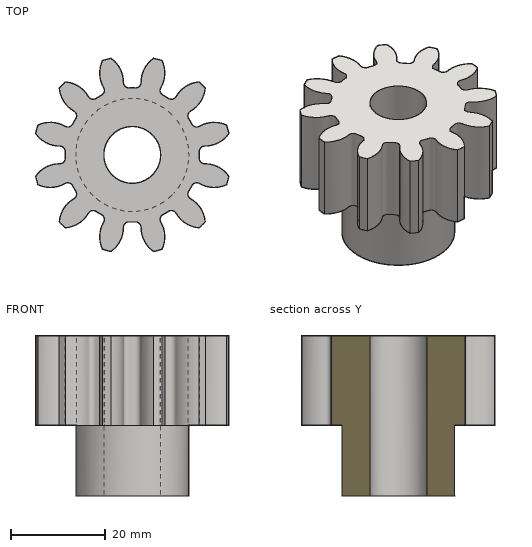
import cadquery as cq
import math

MODULE = 3.0
TOOTH_COUNT = 12
PRESSURE_ANGLE = math.radians(20)
ADDENDUM = MODULE
DEDENDUM = 1.25 * MODULE
ROOT_FILLET_RADIUS = 0.38 * MODULE
FLANK_RADIUS = 6.18
FLANK_CENTER_RADIUS = 17.38

TOTAL_HEIGHT = 34.0
HUB_HEIGHT = 15.0
HUB_DIAMETER = 24.0
BORE_DIAMETER = 12.0

PITCH_RADIUS = MODULE * TOOTH_COUNT / 2
BASE_RADIUS = PITCH_RADIUS * math.cos(PRESSURE_ANGLE)
TIP_RADIUS = PITCH_RADIUS + ADDENDUM
ROOT_RADIUS = PITCH_RADIUS - DEDENDUM
FILLET_CENTER_RADIUS = ROOT_RADIUS + ROOT_FILLET_RADIUS
GEAR_HEIGHT = TOTAL_HEIGHT - HUB_HEIGHT

TOOTH_PITCH = 2 * math.pi / TOOTH_COUNT
FIRST_TOOTH_ANGLE = TOOTH_PITCH / 2


def involute(angle):
    """Involute function of a pressure angle."""
    return math.tan(angle) - angle


def polar(radius, angle):
    """XY point at a radius and an angle."""
    return (radius * math.cos(angle), radius * math.sin(angle))


def rotated(point, angle):
    """Point turned about the gear axis."""
    x, y = point
    cos_angle = math.cos(angle)
    sin_angle = math.sin(angle)
    return (x * cos_angle - y * sin_angle, x * sin_angle + y * cos_angle)


def mirrored(point):
    """Point reflected across the X axis."""
    return (point[0], -point[1])


def triangle_angle(side_a, side_b, opposite):
    """Angle between two sides of a triangle, from its three side lengths."""
    return math.acos((side_a**2 + side_b**2 - opposite**2) / (2 * side_a * side_b))


def direction(start, end):
    """Angle of the ray from one point to another."""
    return math.atan2(end[1] - start[1], end[0] - start[0])


def arc_point(center, radius, angle):
    """Point on a circle about the given center."""
    x, y = polar(radius, angle)
    return (center[0] + x, center[1] + y)


def flank_side_points():
    """Points of the +Y side of a tooth centered on +X, from the tip down to the root circle.

    The side is a convex arc that starts at the tip corner, followed by a concave root
    fillet tangent to both that arc and the root circle.
    """
    tip_pressure_angle = math.acos(BASE_RADIUS / TIP_RADIUS)
    tip_half_angle = TOOTH_PITCH / 4 + involute(PRESSURE_ANGLE) - involute(tip_pressure_angle)
    tip_corner = polar(TIP_RADIUS, tip_half_angle)

    center_to_tip = triangle_angle(FLANK_CENTER_RADIUS, TIP_RADIUS, FLANK_RADIUS)
    flank_center_angle = tip_half_angle - center_to_tip
    flank_center = polar(FLANK_CENTER_RADIUS, flank_center_angle)
    center_to_fillet = triangle_angle(
        FLANK_CENTER_RADIUS, FILLET_CENTER_RADIUS, FLANK_RADIUS + ROOT_FILLET_RADIUS
    )
    fillet_center_angle = flank_center_angle + center_to_fillet
    fillet_center = polar(FILLET_CENTER_RADIUS, fillet_center_angle)

    tip_direction = direction(flank_center, tip_corner)
    foot_direction = direction(flank_center, fillet_center)
    flank_middle = arc_point(flank_center, FLANK_RADIUS, (tip_direction + foot_direction) / 2)
    flank_foot = arc_point(flank_center, FLANK_RADIUS, foot_direction)

    fillet_start = foot_direction + math.pi
    fillet_end = fillet_center_angle + math.pi
    fillet_middle = arc_point(fillet_center, ROOT_FILLET_RADIUS, (fillet_start + fillet_end) / 2)
    root_corner = polar(ROOT_RADIUS, fillet_center_angle)
    return tip_corner, flank_middle, flank_foot, fillet_middle, root_corner


def make_gear():
    """Toothed rim, standing on top of the hub."""
    side = flank_side_points()
    root_corner = side[-1]
    tip_middle = (TIP_RADIUS, 0)
    root_middle = polar(ROOT_RADIUS, TOOTH_PITCH / 2)
    next_root_corner = rotated(mirrored(root_corner), TOOTH_PITCH)

    rising = [mirrored(point) for point in reversed(side)]
    tooth_points = [*rising[1:], tip_middle, *side, root_middle, next_root_corner]
    tooth_arcs = list(zip(tooth_points[0::2], tooth_points[1::2]))

    start = rotated(mirrored(root_corner), FIRST_TOOTH_ANGLE)
    outline = cq.Workplane("XY").workplane(offset=HUB_HEIGHT).moveTo(*start)
    for i in range(TOOTH_COUNT):
        tooth_angle = FIRST_TOOTH_ANGLE + i * TOOTH_PITCH
        for middle, end in tooth_arcs:
            outline = outline.threePointArc(rotated(middle, tooth_angle), rotated(end, tooth_angle))
    return outline.close().extrude(GEAR_HEIGHT)


def make_hub():
    """Plain cylindrical hub below the teeth."""
    return cq.Workplane("XY").circle(HUB_DIAMETER / 2).extrude(HUB_HEIGHT)


def make_bore():
    """Through bore along the axis."""
    return cq.Workplane("XY").circle(BORE_DIAMETER / 2).extrude(TOTAL_HEIGHT)


result = make_gear().union(make_hub()).cut(make_bore())